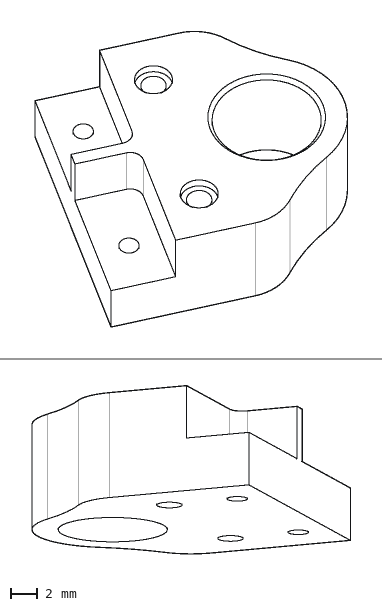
import cadquery as cq
import math

width = 20.0
length = 21.0
height = 8.0
half_width = width / 2

nose_radius = 6.0
shoulder_radius = 4.0
blend_radius = 15.0
nose_y = length - nose_radius
shoulder_x = half_width - shoulder_radius
shoulder_y = 11.17

bore_radius = 4.05
bore_chamfer = 0.32

step_depth = 5.0
step_z = height / 2
rib_width = 1.0
rib_fillet = 1.0

hole_x = 6.0
screw_y = 8.0
screw_diameter = 1.9
counterbore_diameter = 2.81
counterbore_depth = 0.65
pin_y = 2.56
pin_diameter = 1.51


def blend_center():
    """Centre of the right concave arc, tangent to the nose and shoulder arcs."""
    nose_reach = nose_radius + blend_radius
    shoulder_reach = shoulder_radius + blend_radius
    dx = shoulder_x
    dy = shoulder_y - nose_y
    span = math.hypot(dx, dy)
    along = (nose_reach**2 - shoulder_reach**2 + span**2) / (2 * span)
    across = math.sqrt(nose_reach**2 - along**2)
    x = (along * dx - across * dy) / span
    y = nose_y + (along * dy + across * dx) / span
    return x, y


def toward(start, target, distance):
    """Point at a distance from start, in the direction of target."""
    dx = target[0] - start[0]
    dy = target[1] - start[1]
    ratio = distance / math.hypot(dx, dy)
    return start[0] + dx * ratio, start[1] + dy * ratio


def mirrored(point):
    return -point[0], point[1]


def make_body():
    nose = (0, nose_y)
    shoulder = (shoulder_x, shoulder_y)
    blend = blend_center()
    side_end = (half_width, shoulder_y)
    shoulder_end = toward(shoulder, blend, shoulder_radius)
    nose_end = toward(nose, blend, nose_radius)

    side_chord_middle = (
        (side_end[0] + shoulder_end[0]) / 2,
        (side_end[1] + shoulder_end[1]) / 2,
    )
    blend_chord_middle = (
        (shoulder_end[0] + nose_end[0]) / 2,
        (shoulder_end[1] + nose_end[1]) / 2,
    )
    shoulder_middle = toward(shoulder, side_chord_middle, shoulder_radius)
    blend_middle = toward(blend, blend_chord_middle, blend_radius)

    return (
        cq.Workplane("XY")
        .moveTo(-half_width, 0)
        .lineTo(half_width, 0)
        .lineTo(*side_end)
        .threePointArc(shoulder_middle, shoulder_end)
        .threePointArc(blend_middle, nose_end)
        .threePointArc((0, length), mirrored(nose_end))
        .threePointArc(mirrored(blend_middle), mirrored(shoulder_end))
        .threePointArc(mirrored(shoulder_middle), mirrored(side_end))
        .close()
        .extrude(height)
    )


def make_step_pocket(side):
    """Material removed beside the rib; side is -1 for left and 1 for right."""
    pocket_width = half_width - rib_width / 2
    pocket_x = side * (half_width + rib_width / 2) / 2
    inner_edge = "<X" if side > 0 else ">X"
    return (
        cq.Workplane("XY", origin=(pocket_x, step_depth / 2, step_z))
        .box(pocket_width, step_depth, height - step_z, centered=(True, True, False))
        .faces(inner_edge)
        .edges("|Z and >Y")
        .fillet(rib_fillet)
    )


def make_bore():
    straight = cq.Workplane("XY").center(0, nose_y).circle(bore_radius).extrude(height)
    rim = cq.Solid.makeCone(
        bore_radius,
        bore_radius + bore_chamfer,
        bore_chamfer,
        pnt=cq.Vector(0, nose_y, height - bore_chamfer),
    )
    return straight.union(cq.Workplane(rim))


def make_hole_pair(y, diameter, top_z, bottom_z=0):
    """Two upright cylinders, mirrored about X = 0."""
    return (
        cq.Workplane("XY", origin=(0, 0, bottom_z))
        .pushPoints([(-hole_x, y), (hole_x, y)])
        .circle(diameter / 2)
        .extrude(top_z - bottom_z)
    )


body = make_body().cut(make_bore())
for side in (-1, 1):
    body = body.cut(make_step_pocket(side))

result = body.cut(make_hole_pair(screw_y, screw_diameter, height))
result = result.cut(make_hole_pair(screw_y, counterbore_diameter, height, height - counterbore_depth))
result = result.cut(make_hole_pair(pin_y, pin_diameter, step_z))